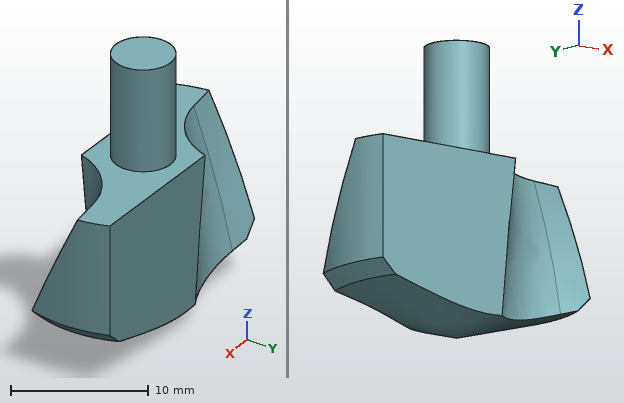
import cadquery as cq
import math

total_height = 21.8
blade_height = 13.19
blade_thickness = 7.48
blade_diameter = 20.97
shank_diameter = 4.8

cone_height = 2.81
rim_chamfer = 1.11

flute_radius = 6.52
flute_join_x = 7.9
flute_join_y = 0.94
flank_angle = 8.1
total_twist = 33.5

blade_radius = blade_diameter / 2
cutter_reach = 1.3 * blade_radius


def make_blade():
    """Flat slab bounded by a turned outline with a conical tip."""
    turned = (
        cq.Workplane("XZ")
        .lineTo(blade_radius - rim_chamfer, cone_height)
        .lineTo(blade_radius, cone_height + rim_chamfer)
        .lineTo(blade_radius, blade_height)
        .lineTo(0, blade_height)
        .close()
        .revolve(360, (0, 0, 0), (0, 1, 0))
    )
    slab = cq.Workplane("XY").box(
        blade_diameter, blade_thickness, blade_height, centered=(True, True, False)
    )
    return turned.intersect(slab)


def make_flute_cutter():
    """Helical cutter: an arc tangent to a straight flank, twisted along Z."""
    flank = math.radians(flank_angle)
    center_x = flute_join_x + flute_radius * math.sin(flank)
    center_y = flute_join_y - flute_radius * math.cos(flank)
    middle_angle = math.radians((90 + flank_angle + 180) / 2)
    arc_middle = (
        center_x + flute_radius * math.cos(middle_angle),
        center_y + flute_radius * math.sin(middle_angle),
    )
    arc_end = (center_x - flute_radius, center_y)
    flank_end_y = flute_join_y + (cutter_reach - flute_join_x) * math.tan(flank)

    return (
        cq.Workplane("XY")
        .transformed(rotate=(0, 0, -total_twist))
        .moveTo(cutter_reach, flank_end_y)
        .lineTo(flute_join_x, flute_join_y)
        .threePointArc(arc_middle, arc_end)
        .lineTo(arc_end[0], -cutter_reach)
        .lineTo(cutter_reach, -cutter_reach)
        .close()
        .twistExtrude(blade_height, total_twist)
    )


def make_shank():
    return (
        cq.Workplane("XY")
        .workplane(offset=blade_height)
        .circle(shank_diameter / 2)
        .extrude(total_height - blade_height)
    )


result = make_blade()
flute_cutter = make_flute_cutter()
for turn in (0, 180):
    result = result.cut(flute_cutter.rotate((0, 0, 0), (0, 0, 1), turn))
result = result.union(make_shank())